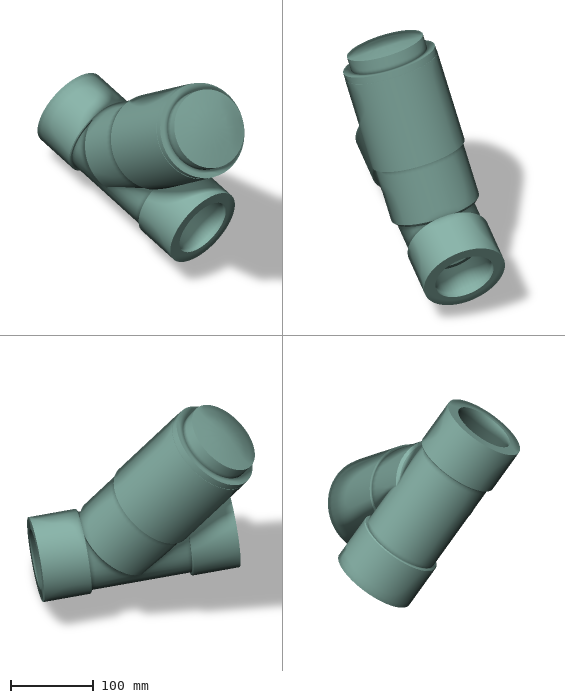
import cadquery as cq
import math

run_length = 242.2
run_yaw = -6.5
run_rise = 0.2
run_diameter = 96.0
socket_diameter = 104.5
socket_length = 59.0
socket_chamfer = 1.0
bore_diameter = 65.0
socket_bore_diameter = 75.0
socket_bore_depth = 44.5

branch_elevation = 50.1
branch_foot = (-21.2, 4.0, 15.5)
foot_depth = 3.5
foot_inset = 3.5
branch_diameter = 111.0
branch_length = 71.0
sleeve_diameter = 117.0
sleeve_length = 115.5

flange_diameter = 116.0
flange_thickness = 8.5
knob_diameter = 96.0
knob_height = 17.5
dome_height = 4.2


def direction(yaw, elevation):
    """Unit vector at a yaw about Z and an elevation, both in degrees."""
    yaw = math.radians(yaw)
    elevation = math.radians(elevation)
    level = math.cos(elevation)
    return cq.Vector(level * math.cos(yaw), level * math.sin(yaw), math.sin(elevation))


run_axis = direction(run_yaw, run_rise)
branch_axis = direction(0, branch_elevation)


def cylinder(diameter, length, start, axis):
    """Cylinder that grows from the point start along axis."""
    return cq.Workplane(cq.Solid.makeCylinder(diameter / 2, length, start, axis))


def branch_point(distance):
    """Point on the branch axis at a distance from the foot."""
    return cq.Vector(*branch_foot) + branch_axis * distance


def make_foot():
    """Tapered end of the branch, narrowing below its foot point."""
    foot_radius = branch_diameter / 2
    taper = cq.Solid.makeCone(foot_radius, foot_radius - foot_inset, foot_depth, branch_point(0), -branch_axis)
    return cq.Workplane(taper)


def make_socket(end, inward):
    """Solid socket from one end of the run, with its inner rim chamfered."""
    socket = cylinder(socket_diameter, socket_length, end, inward)
    inner_face = socket.faces(cq.selectors.DirectionMinMaxSelector(inward))
    return inner_face.edges().chamfer(socket_chamfer)


def make_housing():
    run_start = run_axis * (-run_length / 2)
    run_end = run_axis * (run_length / 2)
    ends = ((run_start, run_axis), (run_end, -run_axis))

    housing = cylinder(run_diameter, run_length, run_start, run_axis)
    for end, inward in ends:
        housing = housing.union(make_socket(end, inward))

    housing = housing.union(cylinder(branch_diameter, branch_length, branch_point(0), branch_axis))
    housing = housing.union(make_foot())
    sleeve = cylinder(sleeve_diameter, sleeve_length, branch_point(branch_length), branch_axis)
    housing = housing.union(sleeve)

    housing = housing.cut(cylinder(bore_diameter, run_length, run_start, run_axis))
    for end, inward in ends:
        housing = housing.cut(cylinder(socket_bore_diameter, socket_bore_depth, end, inward))
    return housing


def make_cap():
    flange_radius = flange_diameter / 2
    knob_radius = knob_diameter / 2
    knob_top = flange_thickness + knob_height
    dome_top = knob_top + dome_height
    dome_radius = (knob_radius**2 + dome_height**2) / (2 * dome_height)
    mid_radius = knob_radius / 2
    mid_height = dome_top - dome_radius + math.sqrt(dome_radius**2 - mid_radius**2)

    seat = cq.Plane(branch_point(branch_length + sleeve_length), xDir=(0, 1, 0), normal=branch_axis)
    half_section = (
        cq.Workplane("XZ")
        .lineTo(flange_radius, 0)
        .lineTo(flange_radius, flange_thickness)
        .lineTo(knob_radius, flange_thickness)
        .lineTo(knob_radius, knob_top)
        .threePointArc((mid_radius, mid_height), (0, dome_top))
        .close()
    )
    cap = half_section.revolve(360, (0, 0, 0), (0, 1, 0))
    return cq.Workplane(cap.val().moved(cq.Location(seat)))


housing = make_housing()
cap = make_cap()
result = cq.Compound.makeCompound([housing.val(), cap.val()])